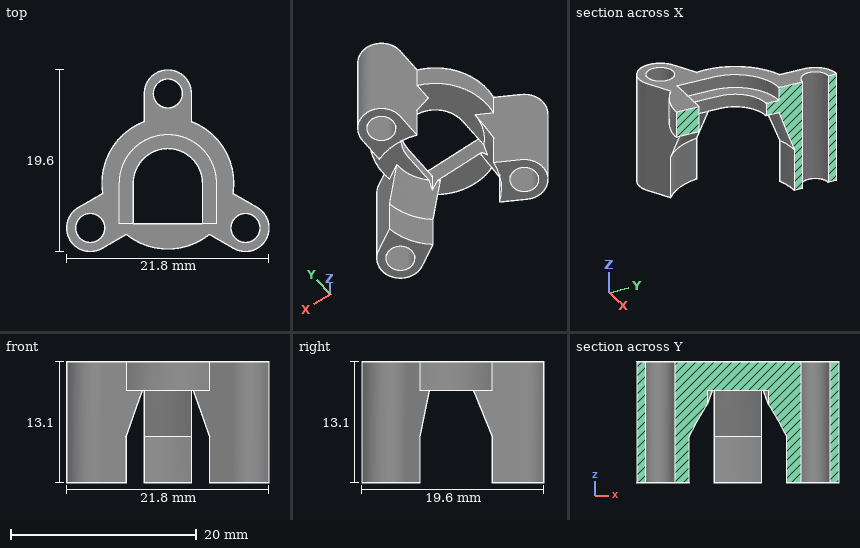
import cadquery as cq
import math

overall_width = 21.8
height = 13.06
leg_radius = 2.55
hole_diameter = 3.1
leg_count = 3

leg_circle_radius = (overall_width / 2 - leg_radius) / math.cos(math.radians(30))

plate_radius = 7.1
plate_thickness = 3.12
pocket_radius = 5.23
pocket_depth = 1.57
opening_radius = 3.7
flat_offset = 4.36

straight_height = 5.0
throat_radius = 5.28
plate_bottom = height - plate_thickness


def make_leg(angle):
    """Round-ended arm of full height reaching from the centre, with its hole."""
    arm = (
        cq.Workplane("XY")
        .center(leg_circle_radius / 2, 0)
        .rect(leg_circle_radius, 2 * leg_radius)
        .extrude(height)
    )
    end = cq.Workplane("XY").center(leg_circle_radius, 0).circle(leg_radius).extrude(height)
    hole = cq.Workplane("XY").center(leg_circle_radius, 0).circle(hole_diameter / 2).extrude(height)
    return arm.union(end).cut(hole).rotate((0, 0, 0), (0, 0, 1), angle)


def make_clearance():
    """Revolved space under the plate, a cylinder topped by a cone frustum."""
    return (
        cq.Workplane("XZ")
        .moveTo(0, 0)
        .lineTo(plate_radius, 0)
        .lineTo(plate_radius, straight_height)
        .lineTo(throat_radius, plate_bottom)
        .lineTo(0, plate_bottom)
        .close()
        .revolve(360, (0, 0, 0), (0, 1, 0))
    )


def make_arched_cut(radius, depth):
    """Arched cutter, round toward +Y and flat toward -Y, sunk from the top."""
    return (
        cq.Workplane("XY")
        .workplane(offset=height - depth)
        .moveTo(-radius, -flat_offset)
        .lineTo(radius, -flat_offset)
        .lineTo(radius, 0)
        .threePointArc((0, radius), (-radius, 0))
        .close()
        .extrude(depth)
    )


body = cq.Workplane("XY").workplane(offset=plate_bottom).circle(plate_radius).extrude(plate_thickness)
for index in range(leg_count):
    body = body.union(make_leg(90 + index * 360 / leg_count))

body = body.cut(make_clearance())
body = body.cut(make_arched_cut(pocket_radius, pocket_depth))
result = body.cut(make_arched_cut(opening_radius, height))